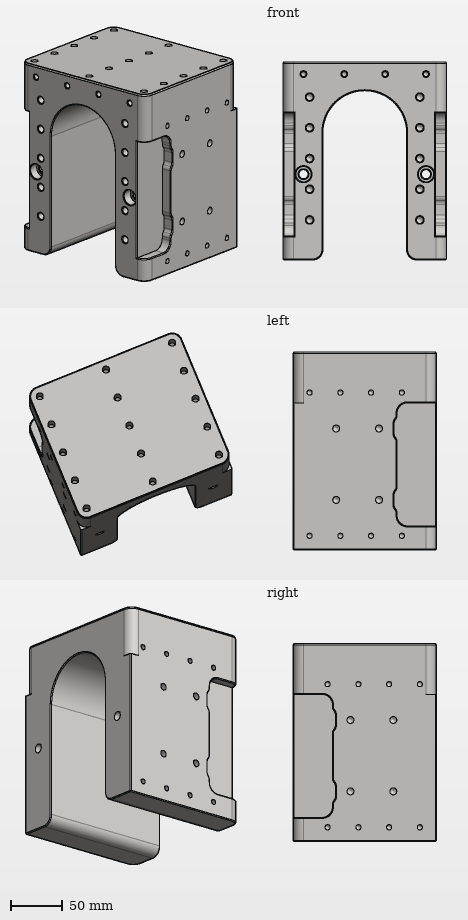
import cadquery as cq
import math

width, depth, height = 160.0, 140.0, 194.0
corner_radius = 10.0
edge_chamfer = 1.0

slot_radius = 41.0
slot_top_drop = 28.3
foot_radius = 10.0

rear_round_length = 50.0

pocket_depth = 10.7
pocket_top = height - 50.0
pocket_bottom = height - 170.3
pocket_reach = 38.5
pocket_corner_radius = 10.0
notch_depth = 3.0
notch_flat = 10.0
notch_blend_radius = 6.0

hole_pitch = 30.0
tip_angle = 118.0
hole_depth = 20.0
small_diameter = 5.0
medium_diameter = 6.8
countersink_size = 0.8

top_column_x = 70.0

front_small_pitch = 40.0
front_small_z = height - 12.0
front_column_x = 54.0
front_column_top_z = height - 34.5

through_x = 60.0
through_z = height - 110.0
through_diameter = 9.0
bore_chamfer = 0.8
counterbore_diameter = 15.1
counterbore_depth = 10.0
counterbore_chamfer = 0.8

side_small_rear_y = 54.0
side_small_rows_z = (height - 40.0, height - 180.0)
side_medium_columns_y = (28.0, -14.0)
side_medium_rows_z = (height - 75.0, height - 145.0)

tolerance = 0.02

front_y = -depth / 2
side_x = width / 2


def make_block():
    """Outer block: front corners rounded full height, rear corners only above the ledge."""
    lower_height = height - rear_round_length
    lower = cq.Workplane("XY").box(width, depth, lower_height, centered=(True, True, False))
    lower = lower.edges("|Z and <Y").fillet(corner_radius)
    upper = (
        cq.Workplane("XY", origin=(0, 0, lower_height))
        .box(width, depth, rear_round_length, centered=(True, True, False))
        .edges("|Z").fillet(corner_radius)
        .faces(">Z").chamfer(edge_chamfer)
    )
    return lower.edges("|Z and >Y").chamfer(edge_chamfer).union(upper)


def make_slot():
    """Arched slot whose mouth flares out in the rounded inner corners of the feet."""
    centre_z = height - slot_top_drop - slot_radius
    mouth = slot_radius + foot_radius
    return (
        cq.Workplane("XZ", origin=(0, depth / 2, 0))
        .moveTo(-mouth, 0)
        .radiusArc((-slot_radius, foot_radius), -foot_radius)
        .lineTo(-slot_radius, centre_z)
        .threePointArc((0, centre_z + slot_radius), (slot_radius, centre_z))
        .lineTo(slot_radius, foot_radius)
        .radiusArc((mouth, 0), -foot_radius)
        .close()
        .extrude(depth)
    )


def on_outline(edge):
    """True for the slot's front and rear rims and for the outer rim of the feet."""
    centre = edge.Center()
    box = edge.BoundingBox()
    on_end_face = box.ylen < tolerance and abs(abs(centre.y) - depth / 2) < tolerance
    in_slot_rim = on_end_face and abs(centre.x) < slot_radius + foot_radius and centre.z < height - tolerance
    on_sole = box.zmax < tolerance
    tangent_line = on_sole and abs(centre.x) < side_x - corner_radius and abs(centre.y) < tolerance
    return in_slot_rim or (on_sole and not tangent_line)


def make_pocket(side):
    """Pocket cutter for one side (-1 or 1): rounded corners and two blended notches in its rear wall."""
    wall_y = front_y + pocket_reach
    notch_y = wall_y + notch_depth
    blend_y = wall_y + notch_depth / 2
    half_blend = math.sqrt(notch_blend_radius * notch_depth - (notch_depth / 2) ** 2)
    front_overshoot_y = front_y - pocket_depth

    outline = (
        cq.Workplane("YZ", origin=(side * (side_x - pocket_depth), 0, 0))
        .moveTo(front_overshoot_y, pocket_bottom)
        .lineTo(wall_y - pocket_corner_radius, pocket_bottom)
        .radiusArc((wall_y, pocket_bottom + pocket_corner_radius), -pocket_corner_radius)
    )
    for notch_z in sorted(side_medium_rows_z):
        flat_start = notch_z - notch_flat / 2
        flat_end = notch_z + notch_flat / 2
        outline = (
            outline.lineTo(wall_y, flat_start - 2 * half_blend)
            .radiusArc((blend_y, flat_start - half_blend), notch_blend_radius)
            .radiusArc((notch_y, flat_start), -notch_blend_radius)
            .lineTo(notch_y, flat_end)
            .radiusArc((blend_y, flat_end + half_blend), -notch_blend_radius)
            .radiusArc((wall_y, flat_end + 2 * half_blend), notch_blend_radius)
        )
    return (
        outline.lineTo(wall_y, pocket_top - pocket_corner_radius)
        .radiusArc((wall_y - pocket_corner_radius, pocket_top), -pocket_corner_radius)
        .lineTo(front_overshoot_y, pocket_top)
        .close()
        .extrude(side * 2 * pocket_depth)
    )


def on_pocket_rim(edge):
    """True for the pocket edges lying in the side faces and in the front face."""
    centre = edge.Center()
    box = edge.BoundingBox()
    in_pocket_height = pocket_bottom - tolerance < box.zmin and box.zmax < pocket_top + tolerance
    in_pocket_reach = box.ymax < front_y + pocket_reach + notch_depth + tolerance
    on_side = box.xlen < tolerance and abs(abs(centre.x) - side_x) < tolerance
    on_front = box.ymax < front_y + tolerance and abs(abs(centre.x) - side_x + pocket_depth) < tolerance
    return in_pocket_height and in_pocket_reach and (on_side or on_front)


def chamfer_edges(body, is_wanted):
    """Chamfer every edge of the body that passes the given test."""
    edges = body.edges().filter(is_wanted).vals()
    return body.newObject(edges).chamfer(edge_chamfer)


def drill(points, inward, diameter, countersink=0.0):
    """Blind drilled holes with conical tips and an optional 45 degree countersink at the mouth."""
    radius = diameter / 2
    tip_length = radius / math.tan(math.radians(tip_angle / 2))
    direction = cq.Vector(inward)
    holes = cq.Workplane("XY")
    for point in points:
        mouth = cq.Vector(point)
        floor = mouth + direction * hole_depth
        hole = cq.Solid.makeCylinder(radius, hole_depth, mouth, direction)
        hole = hole.fuse(cq.Solid.makeCone(radius, 0, tip_length, floor, direction))
        if countersink > 0:
            hole = hole.fuse(cq.Solid.makeCone(radius + countersink, radius, countersink, mouth, direction))
        holes = holes.add(hole)
    return holes.combine()


def make_top_holes():
    """Three columns of five holes in the top face."""
    points = [
        (column * top_column_x, row * hole_pitch, height)
        for column in (-1, 0, 1)
        for row in (-2, -1, 0, 1, 2)
    ]
    return drill(points, (0, 0, -1), medium_diameter)


def make_front_holes():
    """A row of small holes above the arch and a column of larger holes on each leg."""
    row = [
        (step * front_small_pitch, front_y, front_small_z)
        for step in (-1.5, -0.5, 0.5, 1.5)
    ]
    columns = [
        (side * front_column_x, front_y, front_column_top_z - step * hole_pitch)
        for side in (-1, 1)
        for step in range(5)
    ]
    inward = (0, 1, 0)
    small = drill(row, inward, small_diameter, countersink_size)
    return small.add(drill(columns, inward, medium_diameter, countersink_size)).combine()


def make_side_holes(side):
    """Two rows of small holes and a rectangle of four larger holes on one side (-1 or 1)."""
    small_points = [
        (side * side_x, side_small_rear_y - step * hole_pitch, z)
        for z in side_small_rows_z
        for step in range(4)
    ]
    medium_points = [
        (side * side_x, y, z)
        for y in side_medium_columns_y
        for z in side_medium_rows_z
    ]
    inward = (-side, 0, 0)
    small = drill(small_points, inward, small_diameter)
    return small.add(drill(medium_points, inward, medium_diameter)).combine()


def make_through_hole(side):
    """Counterbored hole that runs from front to rear through one leg, chamfered at both steps."""
    bore = through_diameter / 2
    counterbore = counterbore_diameter / 2
    axis = cq.Plane(origin=(side * through_x, front_y, through_z), xDir=(0, 1, 0), normal=(0, 0, 1))
    return (
        cq.Workplane(axis)
        .lineTo(0, counterbore + counterbore_chamfer)
        .lineTo(counterbore_chamfer, counterbore)
        .lineTo(counterbore_depth, counterbore)
        .lineTo(counterbore_depth, bore + bore_chamfer)
        .lineTo(counterbore_depth + bore_chamfer, bore)
        .lineTo(depth, bore)
        .lineTo(depth, 0)
        .close()
        .revolve(360, (0, 0), (1, 0))
    )


result = chamfer_edges(make_block().cut(make_slot()), on_outline)
for side in (-1, 1):
    result = result.cut(make_pocket(side))
result = chamfer_edges(result, on_pocket_rim)

result = result.cut(make_top_holes()).cut(make_front_holes())
for side in (-1, 1):
    result = result.cut(make_side_holes(side)).cut(make_through_hole(side))